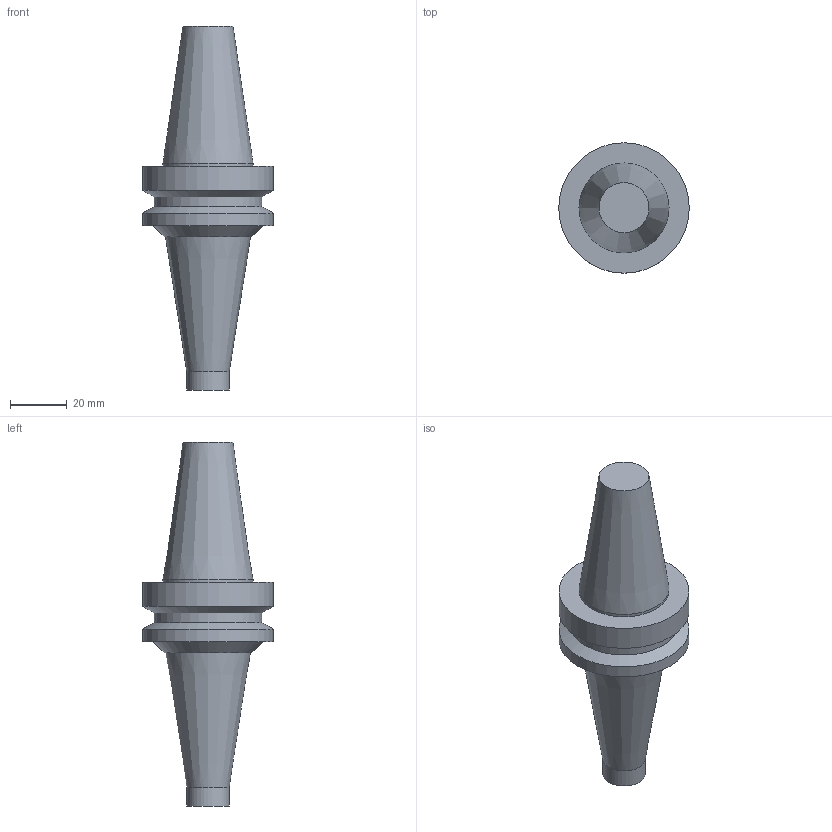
import cadquery as cq
import math


gauge_diameter = 31.75
shank_length = 48.4
shank_taper = 7 / 24
neck_length = 1.0

flange_diameter = 46.0
flange_bottom_z = -22.0
groove_diameter = 38.0
groove_root_width = 3.4
groove_center_z = -13.6
groove_flank_angle = 30.0

collar_top_diameter = 39.0
collar_height = 4.0
collar_angle = 45.0
collar_bottom_z = flange_bottom_z - collar_height

nose_projection = 80.0
nose_base_diameter = 30.0
tip_diameter = 15.0
tip_length = 6.5


def tan_deg(angle):
    return math.tan(math.radians(angle))


def frustum(bottom_z, bottom_diameter, top_z, top_diameter):
    """Solid of revolution about Z with straight sides between two diameters."""
    profile = [
        (0, bottom_z),
        (bottom_diameter / 2, bottom_z),
        (top_diameter / 2, top_z),
        (0, top_z),
    ]
    return cq.Workplane("XZ").polyline(profile).close().revolve(360, (0, 0, 0), (0, 1, 0))


def make_shank():
    end_diameter = gauge_diameter - shank_length * shank_taper
    taper = frustum(0, gauge_diameter, shank_length, end_diameter)
    neck = frustum(-neck_length, gauge_diameter, 0, gauge_diameter)
    return taper.union(neck)


def make_groove_cutter():
    root_radius = groove_diameter / 2
    rim_radius = flange_diameter / 2
    flank_height = (rim_radius - root_radius) * tan_deg(groove_flank_angle)
    root_half = groove_root_width / 2
    rim_half = root_half + flank_height
    profile = [
        (root_radius, groove_center_z - root_half),
        (rim_radius, groove_center_z - rim_half),
        (rim_radius, groove_center_z + rim_half),
        (root_radius, groove_center_z + root_half),
    ]
    return cq.Workplane("XZ").polyline(profile).close().revolve(360, (0, 0, 0), (0, 1, 0))


def make_flange():
    blank = frustum(flange_bottom_z, flange_diameter, -neck_length, flange_diameter)
    return blank.cut(make_groove_cutter())


def make_collar():
    bottom_diameter = collar_top_diameter - 2 * collar_height * tan_deg(collar_angle)
    return frustum(collar_bottom_z, bottom_diameter, flange_bottom_z, collar_top_diameter)


def make_nose():
    cone_end_z = tip_length - nose_projection
    cone = frustum(cone_end_z, tip_diameter, collar_bottom_z, nose_base_diameter)
    tip = frustum(-nose_projection, tip_diameter, cone_end_z, tip_diameter)
    return cone.union(tip)


result = make_shank().union(make_flange()).union(make_collar()).union(make_nose())